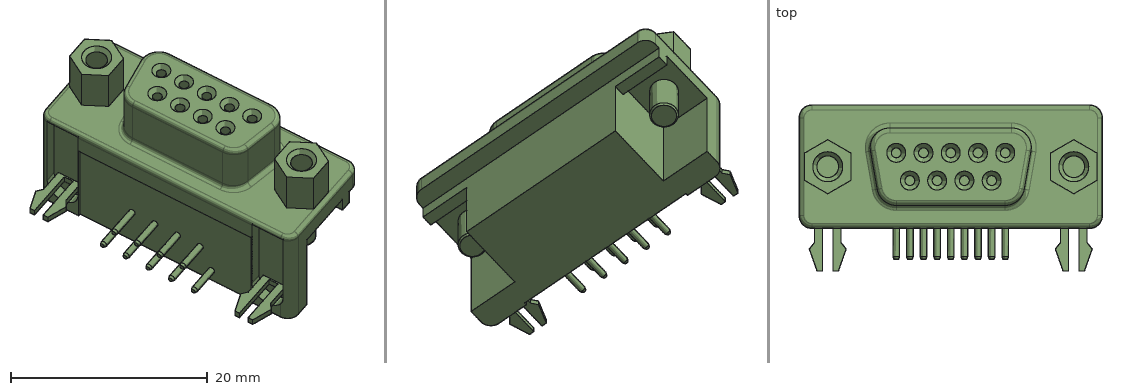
import cadquery as cq
import math


FLANGE_WIDTH = 30.81
FLANGE_DEPTH = 12.55
FLANGE_BOTTOM_Z = 10.0
FLANGE_TOP_Z = 12.5
CORNER_RADIUS = 1.3
EDGE_FILLET = 0.5
MID_Y = FLANGE_DEPTH / 2
BODY_WIDTH = 19.4
BODY_BACK_Y = 10.68
BODY_FRONT_RECESS = 0.27
LEG_INNER_X = 10.52
LEG_DEPTH = 2.9
LIP_FRONT_Y = 9.43
LIP_BOTTOM_Z = 8.33

SHELL_TOP_Z = 18.3
SHELL_DEPTH = 7.88
SHELL_BACK_WIDTH = 17.14
SHELL_SIDE_ANGLE = 10.0
SHELL_CORNER_RADIUS = 2.0

BACK_ROW_COUNT = 5
FRONT_ROW_COUNT = BACK_ROW_COUNT - 1
PITCH = 2.77
ROW_PITCH = 2.82
SOCKET_DIAMETER = 1.0
SOCKET_MOUTH_DIAMETER = 1.92
SOCKET_MOUTH_DEPTH = 0.45
SOCKET_DEPTH = 5.0
PIN_DIAMETER = 0.7
PIN_LENGTH = 3.15
PIN_END_CHAMFER_LENGTH = 0.28
PIN_END_CHAMFER_INSET = 0.12
PIN_LOW_ROW_Z = 1.56

SCREW_X = 12.5
HEX_ACROSS_FLATS = 4.76
HEX_TOP_Z = 17.27
HEX_TURN = 30.0
SCREW_HOLE_DIAMETER = 2.2
SCREW_MOUTH_DIAMETER = 3.05
SCREW_MOUTH_DEPTH = 0.43
SCREW_HOLE_DEPTH = 5.0
STUD_DIAMETER = 2.92
STUD_BOTTOM_Z = 5.43
STUD_CHAMFER = 0.18

GROOVE_WIDTH = 3.76
GROOVE_DEPTH = 1.3
GROOVE_TOP_Z = 12.1
GROOVE_BOTTOM_Z = 1.13
LOCK_BOTTOM_Z = 2.66
LOCK_THICKNESS = 0.7
LOCK_LENGTH = 4.33
LOCK_GAP = 1.06
LOCK_BRIDGE_DEPTH = 0.17
LOCK_SHANK_WIDTH = 2.74
LOCK_BARB_WIDTH = 3.76
LOCK_TIP_WIDTH = 2.18
LOCK_BARB_START = 1.44
LOCK_BARB_PEAK = 2.09


def block(x_range, y_range, z_range):
    (x0, x1), (y0, y1), (z0, z1) = x_range, y_range, z_range
    return cq.Workplane("XY").box(x1 - x0, y1 - y0, z1 - z0, centered=False).translate((x0, y0, z0))


def make_flange():
    half = FLANGE_WIDTH / 2
    outer = (
        cq.Workplane("XY")
        .center(0, MID_Y)
        .rect(FLANGE_WIDTH, FLANGE_DEPTH)
        .extrude(FLANGE_TOP_Z)
        .edges("|Z")
        .fillet(CORNER_RADIUS)
        .faces(">Z")
        .edges()
        .fillet(EDGE_FILLET)
    )
    under = block((-half, half), (LEG_DEPTH, FLANGE_DEPTH), (0, FLANGE_BOTTOM_Z))
    between = block((-LEG_INNER_X, LEG_INNER_X), (0, LEG_DEPTH), (0, FLANGE_BOTTOM_Z))
    return outer.cut(under).cut(between)


def make_body():
    half = FLANGE_WIDTH / 2
    core_half = BODY_WIDTH / 2
    z_range = (0, FLANGE_BOTTOM_Z)
    core = block((-core_half, core_half), (BODY_FRONT_RECESS, BODY_BACK_Y), z_range)
    web = block((-LEG_INNER_X, LEG_INNER_X), (BODY_FRONT_RECESS, LEG_DEPTH), z_range)
    lip = block((-half, half), (LIP_FRONT_Y, BODY_BACK_Y), (LIP_BOTTOM_Z, FLANGE_BOTTOM_Z))
    return core.union(web).union(lip)


def make_shell():
    back = SHELL_BACK_WIDTH / 2
    front = back - SHELL_DEPTH * math.tan(math.radians(SHELL_SIDE_ANGLE))
    half_depth = SHELL_DEPTH / 2
    outline = [(-back, half_depth), (back, half_depth), (front, -half_depth), (-front, -half_depth)]
    return (
        cq.Workplane("XY", origin=(0, MID_Y, FLANGE_BOTTOM_Z))
        .polyline(outline)
        .close()
        .extrude(SHELL_TOP_Z - FLANGE_BOTTOM_Z)
        .edges("not(#Z)")
        .fillet(SHELL_CORNER_RADIUS)
        .faces(">Z")
        .edges()
        .fillet(EDGE_FILLET)
    )


def row_positions(count):
    return [(i - (count - 1) / 2) * PITCH for i in range(count)]


def countersunk_hole(x, y, top_z, diameter, mouth_diameter, mouth_depth, depth):
    r = diameter / 2
    profile = [(0, 0), (mouth_diameter / 2, 0), (r, -mouth_depth), (r, -depth), (0, -depth)]
    hole = cq.Workplane("XZ").polyline(profile).close().revolve(360, (0, 0), (0, 1))
    return hole.translate((x, y, top_z))


def make_pin(x, z):
    r = PIN_DIAMETER / 2
    return (
        cq.Workplane("XZ", origin=(x, LEG_DEPTH, z))
        .circle(r)
        .extrude(LEG_DEPTH + PIN_LENGTH)
        .faces("<Y")
        .chamfer(PIN_END_CHAMFER_LENGTH, PIN_END_CHAMFER_INSET)
    )


def make_jack_screw(x):
    hexagon = (
        cq.Workplane("XY", origin=(x, MID_Y, FLANGE_BOTTOM_Z))
        .polygon(6, HEX_ACROSS_FLATS / math.cos(math.pi / 6))
        .extrude(HEX_TOP_Z - FLANGE_BOTTOM_Z)
        .rotate((x, MID_Y, 0), (x, MID_Y, 1), HEX_TURN)
    )
    stud = (
        cq.Workplane("XY", origin=(x, MID_Y, STUD_BOTTOM_Z))
        .circle(STUD_DIAMETER / 2)
        .extrude(FLANGE_TOP_Z - STUD_BOTTOM_Z)
        .faces("<Z")
        .chamfer(STUD_CHAMFER)
    )
    return hexagon.union(stud)


def make_groove(x):
    r = GROOVE_WIDTH / 2
    return (
        cq.Workplane("XZ", origin=(x, GROOVE_DEPTH, 0))
        .moveTo(-r, GROOVE_TOP_Z)
        .lineTo(-r, GROOVE_BOTTOM_Z + r)
        .threePointArc((0, GROOVE_BOTTOM_Z), (r, GROOVE_BOTTOM_Z + r))
        .lineTo(r, GROOVE_TOP_Z)
        .close()
        .extrude(GROOVE_DEPTH)
    )


def make_board_lock(x):
    prong = (
        cq.Workplane("XY", origin=(x, 0, LOCK_BOTTOM_Z))
        .polyline([
            (LOCK_GAP / 2, LEG_DEPTH),
            (LOCK_GAP / 2, -LOCK_LENGTH),
            (LOCK_TIP_WIDTH / 2, -LOCK_LENGTH),
            (LOCK_BARB_WIDTH / 2, -LOCK_BARB_PEAK),
            (LOCK_SHANK_WIDTH / 2, -LOCK_BARB_START),
            (LOCK_SHANK_WIDTH / 2, LEG_DEPTH),
        ])
        .close()
        .extrude(LOCK_THICKNESS)
    )
    half_gap = LOCK_GAP / 2
    bridge = block(
        (x - half_gap, x + half_gap),
        (GROOVE_DEPTH - LOCK_BRIDGE_DEPTH, LEG_DEPTH),
        (LOCK_BOTTOM_Z, LOCK_BOTTOM_Z + LOCK_THICKNESS),
    )
    return prong.union(prong.mirror("YZ", (x, 0, 0))).union(bridge)


def make_housing():
    """Flange, shell and body, with the foot of the shell blended into the flange."""
    margin = 0.1
    half_width = SHELL_BACK_WIDTH / 2
    half_depth = SHELL_DEPTH / 2 + margin
    foot_region = cq.selectors.BoxSelector(
        (-half_width, MID_Y - half_depth, FLANGE_TOP_Z - margin),
        (half_width, MID_Y + half_depth, FLANGE_TOP_Z + margin),
    )
    blended = make_flange().union(make_shell()).edges(foot_region).fillet(EDGE_FILLET)
    return blended.union(make_body())


def add_mounting(part, x):
    """Jack screw and board lock at one end of the connector."""
    part = part.cut(make_groove(x))
    part = part.union(make_board_lock(x)).union(make_jack_screw(x))
    return part.cut(countersunk_hole(
        x, MID_Y, HEX_TOP_Z,
        SCREW_HOLE_DIAMETER, SCREW_MOUTH_DIAMETER, SCREW_MOUTH_DEPTH, SCREW_HOLE_DEPTH,
    ))


def add_contact_row(part, count, socket_y, pin_z):
    """A centred row of sockets in the shell and the matching row of board pins."""
    for x in row_positions(count):
        part = part.cut(countersunk_hole(
            x, socket_y, SHELL_TOP_Z,
            SOCKET_DIAMETER, SOCKET_MOUTH_DIAMETER, SOCKET_MOUTH_DEPTH, SOCKET_DEPTH,
        ))
        part = part.union(make_pin(x, pin_z))
    return part


connector = make_housing()
for screw_x in (-SCREW_X, SCREW_X):
    connector = add_mounting(connector, screw_x)
connector = add_contact_row(connector, BACK_ROW_COUNT, MID_Y + ROW_PITCH / 2, PIN_LOW_ROW_Z)
connector = add_contact_row(connector, FRONT_ROW_COUNT, MID_Y - ROW_PITCH / 2, PIN_LOW_ROW_Z + ROW_PITCH)

result = connector